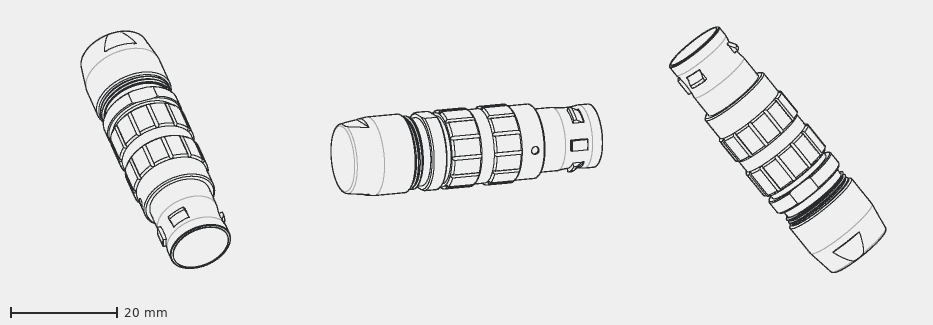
import cadquery as cq

TOTAL_LENGTH = 50.27
NOSE_END = 5.53
BACK_NUT_END = 12.05
THREAD_END = 13.7
COLLAR_START = 15.25
COLLAR_END = 18.22
FIRST_GRIP_START = 19.32
FIRST_GRIP_END = 25.38
SECOND_GRIP_START = 27.8
SECOND_GRIP_END = 33.5
SLEEVE_END = 38.17
WAIST_START = 42.6
WAIST_END = 48.05

OUTER_RADIUS = 7.45
SLEEVE_RADIUS = 7.05
NECK_RADIUS = 6.45
PLUG_RADIUS = 6.0
NOSE_RADIUS = 6.55
NOSE_MID_RADIUS = 7.04
NOSE_EDGE_FILLET = 0.45
WAIST_DEPTH = 0.28
LIP_RADIUS = 5.5
LIP_LENGTH = 0.15

BACK_NUT_CHAMFER = 0.35
COLLAR_FRONT_CHAMFER = 0.3
COLLAR_REAR_CHAMFER = 0.2
GRIP_CHAMFER = 0.43
SLEEVE_CHAMFER = 0.3
PLUG_CHAMFER = 0.12

NOSE_FLAT_HEIGHT = 6.5
NOSE_FLAT_LENGTH = 4.02
COLLAR_FLAT_HEIGHT = 7.02

THREAD_PITCH = 0.75
THREAD_CREST_RADIUS = 6.95
THREAD_ROOT_RADIUS = 6.58
THREAD_ROOT_OVERLAP = 0.1
THREAD_RUN_IN = 0.77
THREAD_CREST_FLAT = 0.1
THREAD_ROOT_FLAT = 0.1

GROOVE_COUNT = 12
GROOVE_RADIUS = 0.36
GROOVE_CENTRE_RADIUS = 7.43

DIMPLE_X = 36.1
DIMPLE_DIAMETER = 1.5
DIMPLE_DEPTH = 0.5

KEY_START = 43.7
KEY_END = 47.0
KEY_WIDTH = 2.0
KEY_CHAMFER = 0.1
LATCH_START = 44.76
LATCH_CREST_END = 45.39
LATCH_END = KEY_END
LATCH_END_RADIUS = 5.5
LATCH_WIDTH = 3.5
LATCH_COUNT = 3
LUG_RADIUS = 6.45
LUG_INNER_RADIUS = 4.5

X_AXIS_START = (0, 0, 0)
X_AXIS_END = (1, 0, 0)


def revolve_about_x(profile):
    return profile.close().revolve(360, X_AXIS_START, X_AXIS_END)


def disc(start, end, radius, start_chamfer=0.0, end_chamfer=0.0):
    """Cylinder on the X axis with optional chamfers on either end."""
    body = cq.Workplane("YZ", origin=(start, 0, 0)).circle(radius).extrude(end - start)
    if start_chamfer:
        body = body.faces("<X").chamfer(start_chamfer)
    if end_chamfer:
        body = body.faces(">X").chamfer(end_chamfer)
    return body


def flat_cutters(start, end, height):
    """Two slabs that leave flats at +height and -height in Z."""
    span = 2 * OUTER_RADIUS
    slab = cq.Workplane("XY").box(end - start, span, OUTER_RADIUS, centered=(False, True, False))
    upper = slab.translate((start, 0, height))
    return upper.union(upper.mirror("XY"))


def make_back_nut():
    nose = revolve_about_x(
        cq.Workplane("XY")
        .lineTo(0, NOSE_RADIUS)
        .threePointArc((NOSE_END / 2, NOSE_MID_RADIUS), (NOSE_END, OUTER_RADIUS))
        .lineTo(NOSE_END, 0)
    )
    nose = nose.faces("<X").edges().fillet(NOSE_EDGE_FILLET)
    nose = nose.cut(flat_cutters(0, NOSE_FLAT_LENGTH, NOSE_FLAT_HEIGHT))
    return nose.union(disc(NOSE_END, BACK_NUT_END, OUTER_RADIUS, end_chamfer=BACK_NUT_CHAMFER))


def make_thread():
    """Core with a helical V ridge, trimmed flush at THREAD_END."""
    start = BACK_NUT_END - THREAD_RUN_IN
    length = THREAD_END + THREAD_PITCH - start
    inner = THREAD_ROOT_RADIUS - THREAD_ROOT_OVERLAP
    root_half = (THREAD_PITCH - THREAD_ROOT_FLAT) / 2
    crest_half = THREAD_CREST_FLAT / 2
    helix = cq.Workplane(cq.Wire.makeHelix(THREAD_PITCH, length, inner))
    ridge = (
        cq.Workplane("XZ")
        .moveTo(inner, -root_half)
        .lineTo(THREAD_CREST_RADIUS, -crest_half)
        .lineTo(THREAD_CREST_RADIUS, crest_half)
        .lineTo(inner, root_half)
        .close()
        .sweep(helix, isFrenet=True)
    )
    ridge = ridge.rotate((0, 0, 0), (0, 1, 0), 90).translate((start, 0, 0))
    hidden_start = BACK_NUT_END - BACK_NUT_CHAMFER
    envelope = disc(hidden_start, THREAD_END, OUTER_RADIUS)
    core = disc(hidden_start, THREAD_END, THREAD_ROOT_RADIUS)
    return core.union(ridge.intersect(envelope))


def make_collar():
    collar = disc(COLLAR_START, COLLAR_END, OUTER_RADIUS, COLLAR_FRONT_CHAMFER, COLLAR_REAR_CHAMFER)
    return collar.cut(flat_cutters(COLLAR_START, COLLAR_END, COLLAR_FLAT_HEIGHT))


def make_grip_ring(start, end):
    """Ring with lengthwise rounded grooves spread around it."""
    ring = disc(start, end, OUTER_RADIUS, GRIP_CHAMFER, GRIP_CHAMFER)
    grooves = (
        cq.Workplane("YZ", origin=(start, 0, 0))
        .polarArray(GROOVE_CENTRE_RADIUS, 0, 360, GROOVE_COUNT)
        .circle(GROOVE_RADIUS)
        .extrude(end - start)
    )
    return ring.cut(grooves)


def make_sleeve():
    sleeve_start = FIRST_GRIP_START + GRIP_CHAMFER
    sleeve = disc(sleeve_start, SLEEVE_END, SLEEVE_RADIUS, end_chamfer=SLEEVE_CHAMFER)
    sleeve = sleeve.union(make_grip_ring(FIRST_GRIP_START, FIRST_GRIP_END))
    sleeve = sleeve.union(make_grip_ring(SECOND_GRIP_START, SECOND_GRIP_END))
    dimple = (
        cq.Workplane("XZ", origin=(DIMPLE_X, -SLEEVE_RADIUS + DIMPLE_DEPTH, 0))
        .circle(DIMPLE_DIAMETER / 2)
        .extrude(2 * DIMPLE_DEPTH)
    )
    return sleeve.cut(dimple)


def make_plug():
    """Plug barrel with a shallow arched waist and a short end lip."""
    waist_middle = (WAIST_START + WAIST_END) / 2
    barrel_end = TOTAL_LENGTH - LIP_LENGTH
    return revolve_about_x(
        cq.Workplane("XY")
        .moveTo(FIRST_GRIP_END, 0)
        .lineTo(FIRST_GRIP_END, PLUG_RADIUS)
        .lineTo(WAIST_START, PLUG_RADIUS)
        .threePointArc((waist_middle, PLUG_RADIUS - WAIST_DEPTH), (WAIST_END, PLUG_RADIUS))
        .lineTo(barrel_end - PLUG_CHAMFER, PLUG_RADIUS)
        .lineTo(barrel_end, PLUG_RADIUS - PLUG_CHAMFER)
        .lineTo(barrel_end, LIP_RADIUS)
        .lineTo(TOTAL_LENGTH, LIP_RADIUS)
        .lineTo(TOTAL_LENGTH, 0)
    )


def make_key():
    """Straight key on the -Y side."""
    ring = disc(KEY_START, KEY_END, LUG_RADIUS, KEY_CHAMFER, KEY_CHAMFER)
    block = cq.Workplane("XY").box(
        KEY_END - KEY_START, LUG_RADIUS - LUG_INNER_RADIUS, KEY_WIDTH, centered=(False, False, True)
    )
    return ring.intersect(block.translate((KEY_START, -LUG_RADIUS, 0)))


def make_latch_window():
    """Straight-sided block, one latch wide, on the +Y side."""
    window = cq.Workplane("XY").box(
        LATCH_END - LATCH_START, LUG_RADIUS, LATCH_WIDTH, centered=(False, False, True)
    )
    return window.translate((LATCH_START, 0, 0))


def make_latch_ring():
    """Ring whose outside has a short crest and then ramps down toward the plug's open end."""
    return revolve_about_x(
        cq.Workplane("XY")
        .moveTo(LATCH_START, 0)
        .lineTo(LATCH_START, LUG_RADIUS)
        .lineTo(LATCH_CREST_END, LUG_RADIUS)
        .lineTo(LATCH_END, LATCH_END_RADIUS)
        .lineTo(LATCH_END, 0)
    )


def add_latches(body):
    """Latches spaced evenly around the plug, each ramp sinking into its own window."""
    window = make_latch_window()
    latch = window.intersect(make_latch_ring())
    clearance = window.cut(latch)
    for index in range(LATCH_COUNT):
        angle = index * 360 / LATCH_COUNT
        body = body.cut(clearance.rotate(X_AXIS_START, X_AXIS_END, angle))
        body = body.union(latch.rotate(X_AXIS_START, X_AXIS_END, angle))
    return body


neck = disc(NOSE_END, FIRST_GRIP_END, NECK_RADIUS)
plug = add_latches(make_plug()).union(make_key())
result = make_back_nut().union(neck).union(make_thread()).union(make_collar())
result = result.union(make_sleeve()).union(plug)